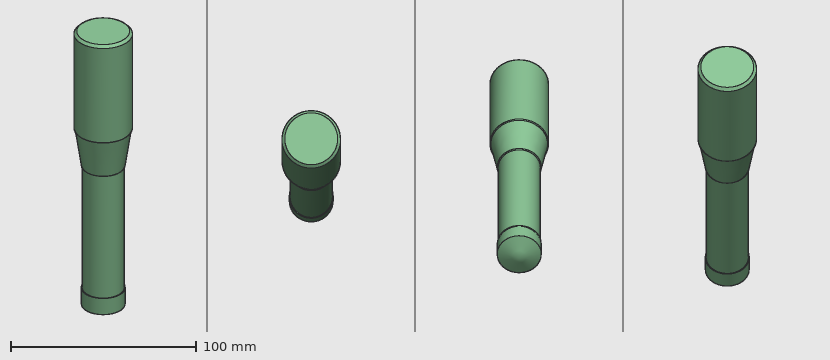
import cadquery as cq

total_length = 175.0
tip_bottom = -total_length / 2

head_radius = 11.9
point_height = 4.4
head_land_height = 10.2

shank_diameter = 31.7
shank_radius = shank_diameter / 2
shank_length = 60.5
shank_chamfer = 1.5
edge_break = 0.5
neck_radius = 11.4
taper_length = 23.8

taper_top_radius = shank_radius - edge_break
taper_bottom_radius = neck_radius + edge_break

land_bottom = tip_bottom + point_height
head_top = land_bottom + head_land_height
holder_top = tip_bottom + total_length
shank_bottom = holder_top - shank_length
taper_bottom = shank_bottom - taper_length


def revolve_about_z(outline):
    """Revolve a closed (radius, height) outline one full turn about Z."""
    return cq.Workplane("XZ").polyline(outline).close().revolve(360, (0, 0), (0, 1))


def make_holder():
    """Chamfered shank, tapered shoulder and slim neck, ending flat on the head."""
    return revolve_about_z([
        (0, head_top),
        (neck_radius, head_top),
        (neck_radius, taper_bottom),
        (taper_bottom_radius, taper_bottom + edge_break),
        (taper_top_radius, shank_bottom - edge_break),
        (shank_radius, shank_bottom),
        (shank_radius, holder_top - shank_chamfer),
        (shank_radius - shank_chamfer, holder_top),
        (0, holder_top),
    ])


def make_cutting_head():
    """Short cylinder, slightly wider than the neck, with a conical point."""
    return revolve_about_z([
        (0, tip_bottom),
        (head_radius, land_bottom),
        (head_radius, head_top),
        (0, head_top),
    ])


holder = make_holder()
cutting_head = make_cutting_head()

result = cq.Compound.makeCompound([holder.val(), cutting_head.val()])